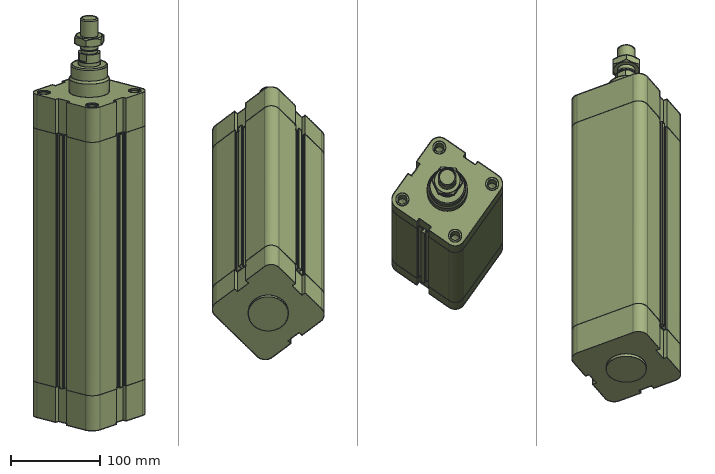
import cadquery as cq
import math

TOTAL_LENGTH = 468.0
BODY_WIDTH = 95.5
CORNER_RADIUS = 11.5

REAR_COLLAR_HEIGHT = 3.7
BARREL_BOTTOM_Z = 45.0
BARREL_TOP_Z = 341.5
CAP_TOP_Z = 382.0
BOSS_TOP_Z = 400.0
NOSE_TOP_Z = 414.0
NECK_BOTTOM_Z = 418.5
FLATS_BOTTOM_Z = 420.0
NECK_TOP_Z = 428.0
THREAD_BOTTOM_Z = 431.5
NUT_BOTTOM_Z = 438.0

CAP_SLOT_WIDTH = 16.5
CAP_SLOT_DEPTH = 4.5
BARREL_SLOT_WIDTH = 15.5
BARREL_SLOT_DEPTH = 3.7
LIP_THICKNESS = 2.0
LIP_OVERHANG = 0.5
RIB_WIDTH = 4.0
SLOT_ANGLES = (-90, 0, 180)

SCREW_OFFSET = 36.0
SCREW_BORE_DIAMETER = 14.5
SCREW_BORE_DEPTH = 1.5
SCREW_HOLE_DIAMETER = 10.5
SCREW_HOLE_DEPTH = 23.5
DRILL_POINT_ANGLE = 118

COLLAR_DIAMETER = 45.0
BOSS_CHAMFER_HEIGHT = 3.0
NOSE_DIAMETER = 41.0
NOSE_CHAMFER = 1.5

ROD_DIAMETER = 25.0
NECK_DIAMETER = 24.5
FLATS_WIDTH = 22.0
UNDERCUT_DIAMETER = 18.5
THREAD_DIAMETER = 20.0
THREAD_CHAMFER = 1.5

NUT_FLATS_WIDTH = 30.0
NUT_HEIGHT = 10.0
NUT_FACE_DIAMETER = 28.5
NUT_CHAMFER_ANGLE = 30
HEXAGON_HALF_ANGLE = 30


def cylinder(diameter, bottom, top):
    return cq.Workplane("XY").workplane(offset=bottom).circle(diameter / 2).extrude(top - bottom)


def side_bars(width, outer_depth, inner_depth, bottom, top, offset=0):
    """Bars between two depths below the -Y, +X and -X faces, shifted sideways by the offset."""
    bars = cq.Workplane("XY")
    for angle in SLOT_ANGLES:
        bar = (
            cq.Workplane("XY")
            .box(inner_depth - outer_depth, width, top - bottom, centered=(False, True, False))
            .translate((BODY_WIDTH / 2 - inner_depth, offset, bottom))
            .rotate((0, 0, 0), (0, 0, 1), angle)
        )
        bars = bars.add(bar)
    return bars.combine()


def square_block(bottom, top):
    """Square block with rounded vertical edges."""
    return (
        cq.Workplane("XY")
        .workplane(offset=bottom)
        .rect(BODY_WIDTH, BODY_WIDTH)
        .extrude(top - bottom)
        .edges("|Z")
        .fillet(CORNER_RADIUS)
    )


def cap_block(bottom, top):
    """Cap body with one plain slot in three sides."""
    return square_block(bottom, top).cut(side_bars(CAP_SLOT_WIDTH, 0, CAP_SLOT_DEPTH, bottom, top))


def screw_hole():
    """Counterbored blind hole with a conical drill point, opening at the cap top."""
    hole_radius = SCREW_HOLE_DIAMETER / 2
    bore_radius = SCREW_BORE_DIAMETER / 2
    point_height = hole_radius / math.tan(math.radians(DRILL_POINT_ANGLE / 2))
    profile = [
        (0, CAP_TOP_Z),
        (bore_radius, CAP_TOP_Z),
        (bore_radius, CAP_TOP_Z - SCREW_BORE_DEPTH),
        (hole_radius, CAP_TOP_Z - SCREW_BORE_DEPTH),
        (hole_radius, CAP_TOP_Z - SCREW_HOLE_DEPTH),
        (0, CAP_TOP_Z - SCREW_HOLE_DEPTH - point_height),
    ]
    return cq.Workplane("XZ").polyline(profile).close().revolve(360, (0, 0), (0, 1))


def make_rear_cap():
    collar = cylinder(COLLAR_DIAMETER, 0, REAR_COLLAR_HEIGHT)
    return cap_block(REAR_COLLAR_HEIGHT, BARREL_BOTTOM_Z).union(collar)


def make_barrel():
    """Barrel with a pair of undercut slots, parted by a rib, in three sides."""
    mouth_width = (BARREL_SLOT_WIDTH - RIB_WIDTH) / 2
    mouth_offset = (BARREL_SLOT_WIDTH + RIB_WIDTH) / 4
    undercut_width = mouth_width + 2 * LIP_OVERHANG
    barrel = square_block(BARREL_BOTTOM_Z, BARREL_TOP_Z)
    for offset in (-mouth_offset, mouth_offset):
        mouths = side_bars(mouth_width, 0, LIP_THICKNESS, BARREL_BOTTOM_Z, BARREL_TOP_Z, offset)
        undercuts = side_bars(
            undercut_width, LIP_THICKNESS, BARREL_SLOT_DEPTH, BARREL_BOTTOM_Z, BARREL_TOP_Z, offset
        )
        barrel = barrel.cut(mouths).cut(undercuts)
    return barrel


def make_front_cap():
    boss = cylinder(COLLAR_DIAMETER, CAP_TOP_Z, BOSS_TOP_Z)
    boss_chamfer_width = (COLLAR_DIAMETER - NOSE_DIAMETER) / 2
    boss = boss.faces(">Z").chamfer(BOSS_CHAMFER_HEIGHT, boss_chamfer_width)
    nose = cylinder(NOSE_DIAMETER, CAP_TOP_Z, NOSE_TOP_Z)
    nose = nose.faces(">Z").chamfer(NOSE_CHAMFER)
    cap = cap_block(BARREL_TOP_Z, CAP_TOP_Z).union(boss).union(nose)
    cap = cap.cut(cylinder(ROD_DIAMETER, BARREL_TOP_Z, NOSE_TOP_Z))
    for x in (-SCREW_OFFSET, SCREW_OFFSET):
        for y in (-SCREW_OFFSET, SCREW_OFFSET):
            cap = cap.cut(screw_hole().translate((x, y, 0)))
    return cap


def make_rod():
    """Stepped rod: shank, neck with two wrench flats, undercut and thread."""
    shank = cylinder(ROD_DIAMETER, BARREL_TOP_Z, NECK_BOTTOM_Z)
    neck = cylinder(NECK_DIAMETER, NECK_BOTTOM_Z, NECK_TOP_Z)
    flats = cq.Workplane("XY").box(
        NECK_DIAMETER, FLATS_WIDTH, NECK_TOP_Z - FLATS_BOTTOM_Z, centered=(True, True, False)
    ).translate((0, 0, FLATS_BOTTOM_Z))
    neck = neck.intersect(flats.union(cylinder(NECK_DIAMETER, NECK_BOTTOM_Z, FLATS_BOTTOM_Z)))
    undercut = cylinder(UNDERCUT_DIAMETER, NECK_TOP_Z, THREAD_BOTTOM_Z)
    thread = cylinder(THREAD_DIAMETER, THREAD_BOTTOM_Z, TOTAL_LENGTH)
    thread = thread.faces("<Z or >Z").chamfer(THREAD_CHAMFER)
    return shank.union(neck).union(undercut).union(thread)


def make_nut():
    """Hexagon nut with corners on the X axis, chamfered on both faces."""
    corner_diameter = NUT_FLATS_WIDTH / math.cos(math.radians(HEXAGON_HALF_ANGLE))
    corner_radius = corner_diameter / 2
    face_radius = NUT_FACE_DIAMETER / 2
    chamfer_height = (corner_radius - face_radius) * math.tan(math.radians(NUT_CHAMFER_ANGLE))
    envelope_profile = [
        (0, 0),
        (face_radius, 0),
        (corner_radius, chamfer_height),
        (corner_radius, NUT_HEIGHT - chamfer_height),
        (face_radius, NUT_HEIGHT),
        (0, NUT_HEIGHT),
    ]
    envelope = cq.Workplane("XZ").polyline(envelope_profile).close().revolve(360, (0, 0), (0, 1))
    nut = cq.Workplane("XY").polygon(6, corner_diameter).extrude(NUT_HEIGHT).intersect(envelope)
    nut = nut.cut(cylinder(THREAD_DIAMETER, 0, NUT_HEIGHT))
    return nut.translate((0, 0, NUT_BOTTOM_Z))


rear_cap = make_rear_cap()
barrel = make_barrel()
front_cap = make_front_cap()
rod = make_rod()
nut = make_nut()

result = cq.Compound.makeCompound(
    [rear_cap.val(), barrel.val(), front_cap.val(), rod.val(), nut.val()]
)